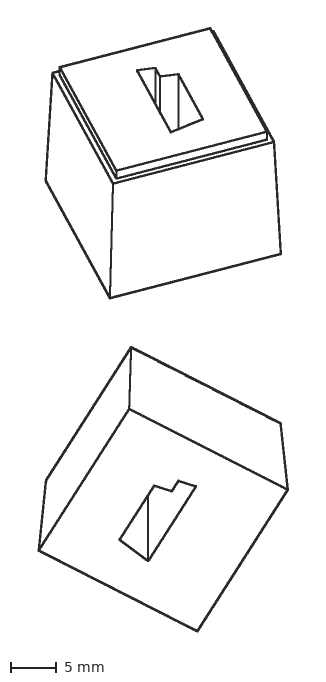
import cadquery as cq

base_side = 19.91
shoulder_side = 18.75
total_height = 17.7

plate_side = 17.52
plate_height = 1.2
body_height = total_height - plate_height

opening_front = -1.05
opening_depth = 4.0
opening_left = -5.34
opening_width = 10.5
step_width = 1.45
side_inset = 0.72

opening_back = opening_front + opening_depth
opening_right = opening_left + opening_width
step_y = opening_front + opening_depth / 2
step_left = opening_left + side_inset / 2


def make_body():
    """Square frustum narrowing towards its shoulder."""
    return (
        cq.Workplane("XY")
        .rect(base_side, base_side)
        .workplane(offset=body_height)
        .rect(shoulder_side, shoulder_side)
        .loft(ruled=True)
    )


def make_plate():
    """Raised plate that leaves a narrow shoulder all round."""
    return (
        cq.Workplane("XY", origin=(0, 0, body_height))
        .rect(plate_side, plate_side)
        .extrude(plate_height)
    )


def make_opening():
    """Through opening with leaning sides and a notch-shaped step at the left."""
    outline = [
        (opening_left, opening_front),
        (opening_right, opening_front),
        (opening_right - side_inset, opening_back),
        (opening_left + side_inset + step_width, opening_back),
        (step_left + step_width, step_y),
        (step_left, step_y),
    ]
    return cq.Workplane("XY").polyline(outline).close().extrude(total_height)


result = make_body().union(make_plate()).cut(make_opening())